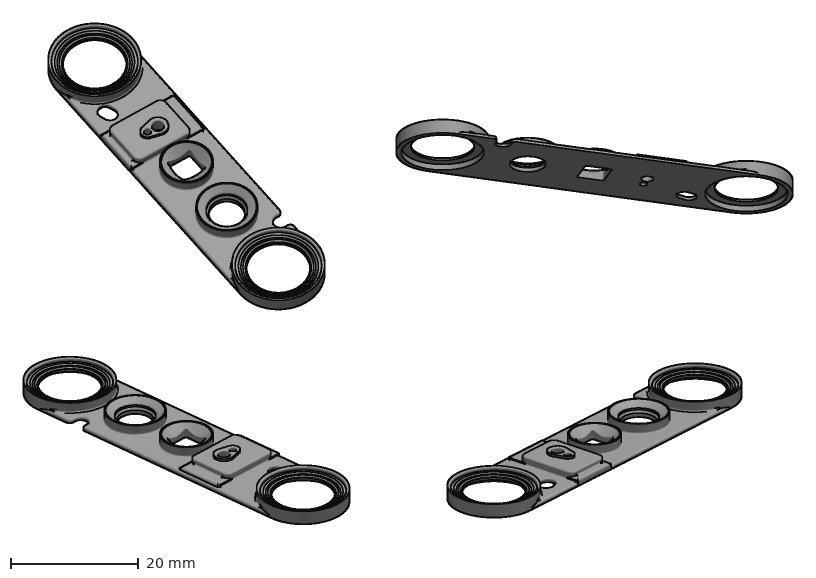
import cadquery as cq
import math

length = 64.6
width = 14.6
height = 2.3

pick_margin = 0.05

plate_thickness = 0.65
edge_round = 0.4
foot_fillet = 0.25
end_radius = width / 2
end_offset = length / 2 - end_radius

notch_x = 17.0
notch_radius = 1.2
notch_centre_y = 6.1
notch_mouth_round = 0.8

ring_rim_inner = 6.8
ring_rim_round = 0.25
ring_ledge_z = 1.75
ring_ledge_inner = 6.25
ring_step_outer = 5.9
ring_step_inner = 5.55
ring_lip_outer = 5.2
ring_hole_radius = 5.0
ring_step_drop = 0.2
ring_relief_radius = 6.45
ring_relief_top_z = 1.0

round_cup_x = 11.0
round_cup_radius = 4.85
round_cone_top_radius = 4.65
round_cone_bottom_radius = 3.55
round_cone_bottom_z = 1.7
round_throat_radius = 3.2
round_throat_top_z = 1.4
round_seat_top_z = 1.1
round_seat_bottom_z = 0.7
round_hole_radius = 2.85

square_cup_radius = 4.2
square_cone_top_radius = 3.95
square_cone_bottom_radius = 2.1
square_cone_bottom_z = 1.0
window_side = 4.4
window_corner = 0.3
window_round = 0.1

panel_left = -13.05
panel_right = -4.8
step_back = 6.8
step_top = 1.1
pad_back = 4.5
pad_front = -6.1
pad_top = 1.95
pad_corner = 1.1
pad_edge_round = 0.3

boss_x = -8.5
boss_large_y = 0.5
boss_small_y = -1.5
boss_large_radius = 1.7
boss_small_radius = 1.15
boss_large_hole = 1.0
boss_small_hole = 0.6
hole_round = 0.2

slot_x = -16.35
slot_y = -3.6
slot_length = 3.4
slot_width = 2.5
slot_angle = 20.0


def disc(x, y, radius, bottom, top):
    return cq.Workplane("XY", origin=(x, y, bottom)).circle(radius).extrude(top - bottom)


def panel_block(front, back, top):
    """Block as wide as the panel, standing on the base plane."""
    block = cq.Workplane("XY").box(panel_right - panel_left, back - front, top, centered=False)
    return block.translate((panel_left, front, 0))


def revolve_upright(profile, x):
    """Turn a closed (radius, z) profile about the vertical axis through (x, 0)."""
    return profile.close().revolve(360, (0, 0), (0, 1)).translate((x, 0, 0))


def round_foot(x, radius):
    """Concave fillet between a round wall and the flat top of the plate."""
    outer = radius + foot_fillet
    top = plate_thickness + foot_fillet
    sag = foot_fillet * math.sqrt(0.5)
    profile = (
        cq.Workplane("XZ")
        .moveTo(radius - foot_fillet, 0)
        .lineTo(outer, 0)
        .lineTo(outer, plate_thickness)
        .threePointArc((outer - sag, top - sag), (radius, top))
        .lineTo(radius - foot_fillet, top)
    )
    flat_area = cq.Workplane("XY").rect(2 * end_offset, width - 2 * edge_round).extrude(height)
    return revolve_upright(profile, x).intersect(flat_area)


def make_plate():
    notch_top = width / 2
    notch = disc(notch_x, notch_centre_y, notch_radius, 0, plate_thickness)
    mouth_depth = notch_top - notch_centre_y
    mouth = (
        cq.Workplane("XY", origin=(notch_x, notch_centre_y + mouth_depth / 2, 0))
        .rect(2 * notch_radius, mouth_depth)
        .extrude(plate_thickness)
    )
    plate = cq.Workplane("XY").slot2D(length, width).extrude(plate_thickness).cut(notch).cut(mouth)
    mouth_corners = cq.selectors.BoxSelector(
        (notch_x - 2 * notch_radius, notch_top - pick_margin, 0),
        (notch_x + 2 * notch_radius, notch_top + pick_margin, plate_thickness),
    )
    plate = plate.edges("|Z").edges(mouth_corners).fillet(notch_mouth_round)
    plate = plate.faces(">Z").edges().fillet(edge_round)

    slot = cq.Workplane("XY").slot2D(slot_length, slot_width, slot_angle).extrude(plate_thickness)
    plate = plate.cut(slot.translate((slot_x, slot_y, 0)))
    slot_area = cq.selectors.BoxSelector(
        (slot_x - slot_length, slot_y - slot_width, plate_thickness - pick_margin),
        (slot_x + slot_length, slot_y + slot_width, plate_thickness + pick_margin),
    )
    return plate.edges(slot_area).fillet(hole_round)


def make_step():
    return panel_block(-width / 2, step_back, step_top).faces(">Z").edges().fillet(edge_round)


def make_pad():
    pad = panel_block(pad_front, pad_back, pad_top).edges("|Z").fillet(pad_corner)
    return pad.faces(">Z").edges().fillet(pad_edge_round)


def straight_foot(plane, origin, outward, run):
    """Concave fillet extruded along the foot of a flat wall, starting at origin on the wall's foot line."""
    sag = foot_fillet * math.sqrt(0.5)
    return (
        cq.Workplane(plane, origin=origin)
        .lineTo(outward * foot_fillet, 0)
        .threePointArc((outward * (foot_fillet - sag), foot_fillet - sag), (0, foot_fillet))
        .close()
        .extrude(run)
    )


def make_panel():
    panel = make_step().union(make_pad())

    side_back = step_back - edge_round
    side_run = side_back + width / 2 - edge_round
    for wall_x, outward in ((panel_left, -1), (panel_right, 1)):
        panel = panel.union(straight_foot("XZ", (wall_x, side_back, plate_thickness), outward, side_run))

    pad_run = panel_right - panel_left - 2 * pad_corner
    for wall_y, outward in ((pad_front, -1), (pad_back, 1)):
        foot_start = (panel_left + pad_corner, wall_y, step_top)
        panel = panel.union(straight_foot("YZ", foot_start, outward, pad_run))
    return panel


def make_boss():
    """Two unequal circles joined by their outer tangents."""
    lean = math.asin((boss_large_radius - boss_small_radius) / (boss_large_y - boss_small_y))

    def tangent_point(y, radius, side):
        return (boss_x + side * radius * math.cos(lean), y - radius * math.sin(lean))

    return (
        cq.Workplane("XY")
        .moveTo(*tangent_point(boss_large_y, boss_large_radius, 1))
        .threePointArc(
            (boss_x, boss_large_y + boss_large_radius), tangent_point(boss_large_y, boss_large_radius, -1)
        )
        .lineTo(*tangent_point(boss_small_y, boss_small_radius, -1))
        .threePointArc(
            (boss_x, boss_small_y - boss_small_radius), tangent_point(boss_small_y, boss_small_radius, 1)
        )
        .close()
        .extrude(height)
    )


def rounded_hole_cutter(y, radius):
    """Through hole whose top edge is rounded over."""
    sag = hole_round * math.sqrt(0.5)
    profile = (
        cq.Workplane("XZ")
        .lineTo(radius, 0)
        .lineTo(radius, height - hole_round)
        .threePointArc(
            (radius + hole_round - sag, height - hole_round + sag), (radius + hole_round, height)
        )
        .lineTo(0, height)
    )
    return revolve_upright(profile, boss_x).translate((0, y, 0))


def ring_cutter(x):
    sag = ring_rim_round * math.sqrt(0.5)
    rim_edge = ring_rim_inner + ring_rim_round
    rim_low = height - ring_rim_round
    step_z = ring_ledge_z - ring_step_drop
    lip_z = step_z - ring_step_drop
    profile = (
        cq.Workplane("XZ")
        .moveTo(0, height)
        .lineTo(rim_edge, height)
        .threePointArc((rim_edge - sag, rim_low + sag), (ring_rim_inner, rim_low))
        .lineTo(ring_rim_inner, ring_ledge_z)
        .lineTo(ring_ledge_inner, ring_ledge_z)
        .lineTo(ring_step_outer, step_z)
        .lineTo(ring_step_inner, step_z)
        .lineTo(ring_lip_outer, lip_z)
        .lineTo(ring_hole_radius, lip_z)
        .lineTo(ring_hole_radius, ring_relief_top_z)
        .lineTo(ring_relief_radius, ring_relief_top_z)
        .lineTo(ring_relief_radius, 0)
        .lineTo(0, 0)
    )
    return revolve_upright(profile, x)


def round_cup_cutter():
    profile = cq.Workplane("XZ").polyline(
        [
            (0, height),
            (round_cone_top_radius, height),
            (round_cone_bottom_radius, round_cone_bottom_z),
            (round_throat_radius, round_throat_top_z),
            (round_throat_radius, round_seat_top_z),
            (round_hole_radius, round_seat_bottom_z),
            (round_hole_radius, 0),
            (0, 0),
        ]
    )
    return revolve_upright(profile, round_cup_x)


def make_square_cup():
    cone = cq.Workplane("XZ").polyline(
        [
            (0, height),
            (square_cone_top_radius, height),
            (square_cone_bottom_radius, square_cone_bottom_z),
            (0, square_cone_bottom_z),
        ]
    )
    window = cq.Workplane("XY").rect(window_side, window_side).extrude(height)
    window = window.edges("|Z").fillet(window_corner)
    cup = disc(0, 0, square_cup_radius, 0, height).cut(revolve_upright(cone, 0)).cut(window)
    window_rim = cq.selectors.BoxSelector(
        (-window_side, -window_side, square_cone_bottom_z), (window_side, window_side, height - pick_margin)
    )
    return cup.edges("not |Z").edges(window_rim).fillet(window_round)


part = make_plate().union(make_panel()).union(make_boss())
part = part.cut(rounded_hole_cutter(boss_large_y, boss_large_hole))
part = part.cut(rounded_hole_cutter(boss_small_y, boss_small_hole))

part = part.union(disc(round_cup_x, 0, round_cup_radius, 0, height))
part = part.union(round_foot(round_cup_x, round_cup_radius))
part = part.cut(round_cup_cutter())

part = part.union(round_foot(0, square_cup_radius))
part = part.cut(disc(0, 0, square_cup_radius, 0, height)).union(make_square_cup())

for ring_x in (-end_offset, end_offset):
    part = part.union(disc(ring_x, 0, end_radius, 0, height))
    part = part.union(round_foot(ring_x, end_radius))
    part = part.cut(ring_cutter(ring_x))

result = part